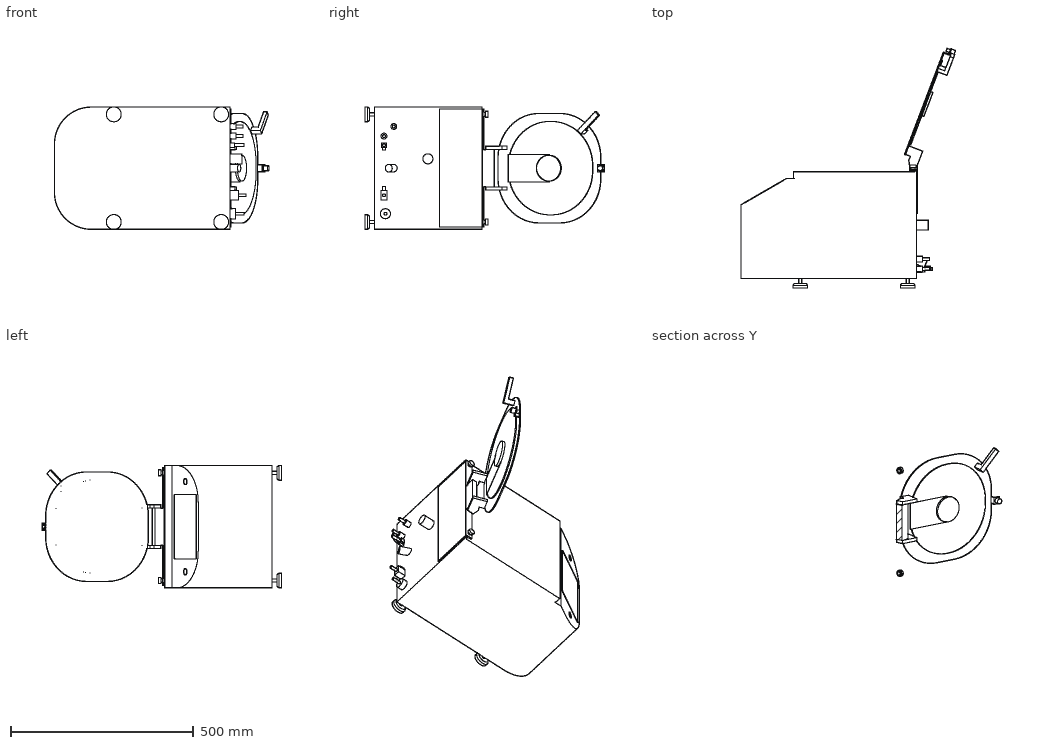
import cadquery as cq
import math

WIDTH = 336.5
CORE_LENGTH = 478.0
CORNER_RADIUS = 102.0
NOSE_HEIGHT = 203.0
TOP_HEIGHT = 275.0
SLOPE_ANGLE = 30.0
COVER_THICKNESS = 4.0
SLOPE_RUN = (TOP_HEIGHT - NOSE_HEIGHT) / math.tan(math.radians(SLOPE_ANGLE))

SLAB_FRONT = 144.0
SLAB_TOP = 293.5
SLAB_EDGE_RADIUS = 3.0

PANEL_THICKNESS = 4.5
PANEL_TOP = 295.5
REAR = CORE_LENGTH + PANEL_THICKNESS

SCREEN_LENGTH = 122.5
SCREEN_WIDTH = 178.0
SCREEN_CORNER = 5.0
CONTROL_DEPTH = 1.0
BUTTON_DIAMETER = 17.0
BUTTON_OFFSET = 124.0

FOOT_X = (163.0, 458.0)
FOOT_RADIUS = 20.5
FOOT_Z = WIDTH / 2 - FOOT_RADIUS
FOOT_HEIGHT = 26.5
FOOT_RIM_HEIGHT = 8.0
FOOT_CONE_HEIGHT = 5.0
FOOT_TOP_RADIUS = 16.5
FOOT_STEM_RADIUS = 4.5

MOUNT_THICKNESS = 2.0
MOUNT_WIDTH = 324.0
MOUNT_BOTTOM = 179.0
MOUNT_TOP = 301.0
FLANGE_THICKNESS = 4.0
FLANGE_FRONT = 463.5
MOUNT_BACK = REAR + MOUNT_THICKNESS
KNOB_X = 473.0
KNOB_RADIUS = 8.5
KNOB_TOP = 312.0
KNOB_HEAD_HEIGHT = 7.0
KNOB_NECK_RADIUS = 5.0
BLOCK_FRONT = FLANGE_FRONT
BLOCK_TOP = 329.0
BLOCK_CHAMFER = 8.0
BLOCK_WIDTH = 102.0

UPPER_ROW = 53.5
LOWER_ROW = 26.5
WIRE_RADIUS = 4.0
SHORT_WIRE_END = 519.0
MIDDLE_WIRE_END = 521.5
LONG_WIRE_END = 526.0

ROUND_PLUG_END = 499.0
ROUND_PLUG_RADIUS = 8.0
ROUND_PLUG_Z = {UPPER_ROW: 114.5, LOWER_ROW: 88.0}

SMALL_PLUG_END = 494.5
SMALL_PLUG_SIZE = 13.0
SMALL_PLUG_Z = 63.0
LARGE_PLUG_END = 506.0
LARGE_PLUG_HEIGHT = 17.0
LARGE_PLUG_WIDTH = 26.5
LARGE_PLUG_Z = -74.5
CATCH_END = 496.0
CATCH_HEIGHT = 8.0
SMALL_CATCH_WIDTH = 6.5
LARGE_CATCH_WIDTH = 10.5

THICK_PLUG_END = 498.0
THICK_PLUG_RADIUS = 14.0
THICK_PLUG_Y = 30.0
THICK_PLUG_Z = -125.0

PIPE_END = 515.0
PIPE_RADIUS = 14.0
PIPE_Y = 147.0
PIPE_Z = 26.0

SPOUT_ANGLE = 25.0
SPOUT_RADIUS = 10.5
SPOUT_LENGTH = 53.0
SPOUT_END_X = 507.5
SPOUT_END_Y = 39.5

LID_ANGLE = 20.8
LID_X = 449.0
LID_SIZE = 301.5
LID_CORNER = 121.0
LID_THICKNESS = 3.0
INNER_INSET = 22.5
INNER_BOTTOM = 31.5
INNER_THICKNESS = 3.0
PAD_HEIGHT = 152.0
PAD_RADIUS = 35.5
PAD_FACE = 13.0
STRAP_THICKNESS = 0.5
STRAP_WIDTH = 75.0

EAR_THICKNESS = 9.0
EAR_TOP = 27.0
EAR_DEPTH = 44.0
EAR_BACK_BOTTOM = -20.0
EAR_TIP = (26.5, -27.5)
EAR_FRONT_KNEE = (16.5, -10.5)
EAR_NOTCH = (17.0, 1.0)

HANDLE_RADIAL = 105.0
HANDLE_ANGLE = 45.0
HANDLE_FACE = 32.0
HANDLE_WIDTH = 14.0
HANDLE_THICKNESS = 10.5
HANDLE_REACH = 73.0

LATCH_WIDTH = 20.0
LATCH_SHEET = 2.5
LATCH_FACE = 18.5
LATCH_RISE = 16.5
LATCH_PIN_RISE = 8.5
LATCH_NUT_RADIUS = 4.5
LATCH_NUT_START = 6.0
LATCH_HEAD_RADIUS = 7.0
LATCH_HEAD_END = 30.0

OVERALL_HEIGHT = 658.5
LEAN = math.radians(LID_ANGLE)
LATCH_TIP_RISE = (LID_SIZE + LATCH_RISE) * math.cos(LEAN) - (LATCH_FACE - LATCH_SHEET) * math.sin(LEAN)
LID_Y = OVERALL_HEIGHT - FOOT_HEIGHT - LATCH_TIP_RISE


def box(x0, x1, y0, y1, z0, z1):
    return cq.Workplane("XY").box(x1 - x0, y1 - y0, z1 - z0, centered=False).translate((x0, y0, z0))


def rod_x(x0, x1, y, z, radius):
    """Cylinder along X."""
    return cq.Workplane("YZ", origin=(x0, 0, 0)).center(y, z).circle(radius).extrude(x1 - x0)


def rod_y(y0, y1, x, z, radius):
    """Cylinder along Y."""
    return cq.Workplane(cq.Plane((x, y0, z), (1, 0, 0), (0, 1, 0))).circle(radius).extrude(y1 - y0)


def side_profile(drop):
    """Side outline of the core, lowered by `drop` square to the slope and the top."""
    nose_drop = drop / math.cos(math.radians(SLOPE_ANGLE))
    bend_shift = drop * math.tan(math.radians(SLOPE_ANGLE / 2))
    return (
        cq.Workplane("XY", origin=(0, 0, -WIDTH / 2))
        .moveTo(0, 0)
        .lineTo(CORE_LENGTH, 0)
        .lineTo(CORE_LENGTH, TOP_HEIGHT - drop)
        .lineTo(SLOPE_RUN + bend_shift, TOP_HEIGHT - drop)
        .lineTo(0, NOSE_HEIGHT - nose_drop)
        .close()
        .extrude(WIDTH)
        .edges("|Y and <X")
        .fillet(CORNER_RADIUS)
    )


def control_recesses():
    """Shallow screen recess and two button recesses in the sloping face."""
    angle = math.radians(SLOPE_ANGLE)
    slope = cq.Plane(
        origin=(SLOPE_RUN / 2, (NOSE_HEIGHT + TOP_HEIGHT) / 2, 0),
        xDir=(math.cos(angle), math.sin(angle), 0),
        normal=(-math.sin(angle), math.cos(angle), 0),
    )
    screen = (
        cq.Workplane(slope)
        .rect(SCREEN_LENGTH, SCREEN_WIDTH)
        .extrude(-CONTROL_DEPTH)
        .edges(cq.selectors.ParallelDirSelector(slope.zDir))
        .fillet(SCREEN_CORNER)
    )
    buttons = (
        cq.Workplane(slope)
        .pushPoints([(0, -BUTTON_OFFSET), (0, BUTTON_OFFSET)])
        .circle(BUTTON_DIAMETER / 2)
        .extrude(-CONTROL_DEPTH)
    )
    return screen.union(buttons)


def make_foot(x, z):
    """Stem, conical shoulder and rim, turned about a vertical axis."""
    shoulder = FOOT_RIM_HEIGHT + FOOT_CONE_HEIGHT - FOOT_HEIGHT
    profile = [
        (0, 0),
        (FOOT_STEM_RADIUS, 0),
        (FOOT_STEM_RADIUS, shoulder),
        (FOOT_TOP_RADIUS, shoulder),
        (FOOT_RADIUS, FOOT_RIM_HEIGHT - FOOT_HEIGHT),
        (FOOT_RADIUS, -FOOT_HEIGHT),
        (0, -FOOT_HEIGHT),
    ]
    return cq.Workplane("XY").polyline(profile).close().revolve(360, (0, 0), (0, 1)).translate((x, 0, z))


def make_mount():
    """Rear plate folded forward at the top, carrying the hinge block and two knobs."""
    half = MOUNT_WIDTH / 2
    flange_bottom = MOUNT_TOP - FLANGE_THICKNESS
    mount = box(REAR, MOUNT_BACK, MOUNT_BOTTOM, MOUNT_TOP, -half, half)
    mount = mount.union(box(FLANGE_FRONT, MOUNT_BACK, flange_bottom, MOUNT_TOP, -half, half))
    block = box(BLOCK_FRONT, MOUNT_BACK, flange_bottom, BLOCK_TOP, -BLOCK_WIDTH / 2, BLOCK_WIDTH / 2)
    mount = mount.union(block.edges("<X and >Y").chamfer(BLOCK_CHAMFER))
    for z in (-FOOT_Z, FOOT_Z):
        mount = mount.union(rod_y(flange_bottom, KNOB_TOP, KNOB_X, z, KNOB_NECK_RADIUS))
        mount = mount.union(rod_y(KNOB_TOP - KNOB_HEAD_HEIGHT, KNOB_TOP, KNOB_X, z, KNOB_RADIUS))
    return mount


def block_x(end, height, width, z):
    """Rectangular block in the lower row, from the rear panel out to `end`."""
    bottom = LOWER_ROW - height / 2
    return box(CORE_LENGTH, end, bottom, bottom + height, z - width / 2, z + width / 2)


def wire(end, y, z):
    return rod_x(CORE_LENGTH, end, y, z, WIRE_RADIUS)


def round_plugs():
    """Two round plugs and a thicker one, each with its wire."""
    parts = []
    for y, z in ROUND_PLUG_Z.items():
        parts.append(rod_x(CORE_LENGTH, ROUND_PLUG_END, y, z, ROUND_PLUG_RADIUS))
        parts.append(wire(SHORT_WIRE_END, y, z))
    parts.append(rod_x(CORE_LENGTH, THICK_PLUG_END, THICK_PLUG_Y, THICK_PLUG_Z, THICK_PLUG_RADIUS))
    parts.append(wire(MIDDLE_WIRE_END, THICK_PLUG_Y, THICK_PLUG_Z))
    return parts


def square_plugs():
    """Two rectangular plugs, each with its wire and a catch on the side facing the middle."""
    small_catch_z = SMALL_PLUG_Z - (SMALL_PLUG_SIZE + SMALL_CATCH_WIDTH) / 2
    large_catch_z = LARGE_PLUG_Z + (LARGE_PLUG_WIDTH + LARGE_CATCH_WIDTH) / 2
    return [
        block_x(SMALL_PLUG_END, SMALL_PLUG_SIZE, SMALL_PLUG_SIZE, SMALL_PLUG_Z),
        block_x(CATCH_END, CATCH_HEIGHT, SMALL_CATCH_WIDTH, small_catch_z),
        wire(MIDDLE_WIRE_END, LOWER_ROW, SMALL_PLUG_Z),
        block_x(LARGE_PLUG_END, LARGE_PLUG_HEIGHT, LARGE_PLUG_WIDTH, LARGE_PLUG_Z),
        block_x(CATCH_END, CATCH_HEIGHT, LARGE_CATCH_WIDTH, large_catch_z),
        wire(LONG_WIRE_END, LOWER_ROW, LARGE_PLUG_Z),
    ]


def make_spout():
    """Round spout sloping down out of the rear panel."""
    angle = math.radians(SPOUT_ANGLE)
    direction = (math.cos(angle), -math.sin(angle), 0)
    end = cq.Plane((SPOUT_END_X, SPOUT_END_Y, 0), (0, 0, 1), direction)
    return cq.Workplane(end).circle(SPOUT_RADIUS).extrude(-SPOUT_LENGTH)


def make_housing():
    core = side_profile(COVER_THICKNESS)
    cover = side_profile(0).cut(core)
    half = WIDTH / 2
    slab = box(SLAB_FRONT, CORE_LENGTH, TOP_HEIGHT, SLAB_TOP, -half, half)
    slab = slab.edges("|Y and <X").fillet(SLAB_EDGE_RADIUS)
    panel = box(CORE_LENGTH, REAR, 0, PANEL_TOP, -half, half)
    body = core.union(cover.cut(control_recesses()), clean=False)
    pipe = rod_x(CORE_LENGTH, PIPE_END, PIPE_Y, PIPE_Z, PIPE_RADIUS)
    connections = [*round_plugs(), *square_plugs(), pipe, make_spout()]
    for part in [slab, panel, make_mount(), *connections]:
        body = body.union(part, clean=False)
    for x in FOOT_X:
        for z in (-FOOT_Z, FOOT_Z):
            body = body.union(make_foot(x, z), clean=False)
    return body


UP_LID = (math.sin(LEAN), math.cos(LEAN), 0)
OFF_LID = (math.cos(LEAN), -math.sin(LEAN), 0)


def lid_face(offset):
    """Workplane parallel to the lid: x runs up the lid, y along Z, normal to the rear."""
    origin = (LID_X + offset * OFF_LID[0], LID_Y + offset * OFF_LID[1], 0)
    return cq.Workplane(cq.Plane(origin, UP_LID, OFF_LID))


def lid_section(z):
    """Workplane across the lid: x runs off its rear face, y up the lid, normal along Z."""
    return cq.Workplane(cq.Plane((LID_X, LID_Y, z), OFF_LID, (0, 0, 1)))


def rounded_plate(offset, bottom, top, width, radius, thickness):
    plate = lid_face(offset).center((bottom + top) / 2, 0).rect(top - bottom, width).extrude(thickness)
    return plate.edges(cq.selectors.ParallelDirSelector(cq.Vector(OFF_LID))).fillet(radius)


def make_pad():
    """Round pad over the end of a thin strap up the middle of the lid."""
    strap_length = PAD_HEIGHT - INNER_BOTTOM
    strap = (
        lid_face(LID_THICKNESS)
        .center(INNER_BOTTOM + strap_length / 2, 0)
        .rect(strap_length, STRAP_WIDTH)
        .extrude(INNER_THICKNESS + STRAP_THICKNESS)
    )
    pad = lid_face(LID_THICKNESS).center(PAD_HEIGHT, 0).circle(PAD_RADIUS).extrude(PAD_FACE - LID_THICKNESS)
    return strap.union(pad)


def make_ear(z):
    """Hinge ear from the lid's lower edge down beside the hinge block."""
    outline = [
        (0, EAR_NOTCH[1]),
        (0, EAR_TOP),
        (EAR_DEPTH, EAR_TOP),
        (EAR_DEPTH, EAR_BACK_BOTTOM),
        EAR_TIP,
        EAR_FRONT_KNEE,
        EAR_NOTCH,
    ]
    return lid_section(z).polyline(outline).close().extrude(EAR_THICKNESS)


def make_handle():
    """Stub square to the lid, then a bar running outward diagonally in the lid's plane."""
    corner_up = LID_SIZE - LID_CORNER
    corner_z = LID_SIZE / 2 - LID_CORNER
    base = lid_face(0).center(corner_up, corner_z).transformed(rotate=(0, 0, HANDLE_ANGLE))
    stub = base.center(HANDLE_RADIAL, 0).rect(HANDLE_WIDTH, HANDLE_WIDTH).extrude(HANDLE_FACE)
    bar = (
        base.workplane(offset=HANDLE_FACE - HANDLE_THICKNESS)
        .center(HANDLE_RADIAL + (HANDLE_REACH - HANDLE_WIDTH) / 2, 0)
        .rect(HANDLE_REACH, HANDLE_WIDTH)
        .extrude(HANDLE_THICKNESS)
    )
    return stub.union(bar)


def make_latch():
    """Folded strip at the upper edge with a headed pin through it."""
    top = LID_SIZE + LATCH_RISE
    outline = [
        (0, LID_SIZE - LATCH_SHEET),
        (LATCH_FACE, LID_SIZE - LATCH_SHEET),
        (LATCH_FACE, top),
        (LATCH_FACE - LATCH_SHEET, top),
        (LATCH_FACE - LATCH_SHEET, LID_SIZE),
        (0, LID_SIZE),
    ]
    latch = lid_section(-LATCH_WIDTH / 2).polyline(outline).close().extrude(LATCH_WIDTH)
    pin = LID_SIZE + LATCH_PIN_RISE
    nut_length = LATCH_FACE - LATCH_NUT_START
    head_length = LATCH_HEAD_END - LATCH_FACE
    nut = lid_face(LATCH_NUT_START).center(pin, 0).circle(LATCH_NUT_RADIUS).extrude(nut_length)
    head = lid_face(LATCH_FACE).center(pin, 0).circle(LATCH_HEAD_RADIUS).extrude(head_length)
    return latch.union(nut).union(head)


def make_lid():
    lid = rounded_plate(0, 0, LID_SIZE, LID_SIZE, LID_CORNER, LID_THICKNESS)
    inner = rounded_plate(
        LID_THICKNESS,
        INNER_BOTTOM,
        LID_SIZE - INNER_INSET,
        LID_SIZE - 2 * INNER_INSET,
        LID_CORNER,
        INNER_THICKNESS,
    )
    lid = lid.union(inner).union(make_pad()).union(make_handle()).union(make_latch())
    for z in (BLOCK_WIDTH / 2, -BLOCK_WIDTH / 2 - EAR_THICKNESS):
        lid = lid.union(make_ear(z))
    return lid


housing = make_housing()
lid = make_lid()
result = cq.Compound.makeCompound([housing.val(), lid.val()])